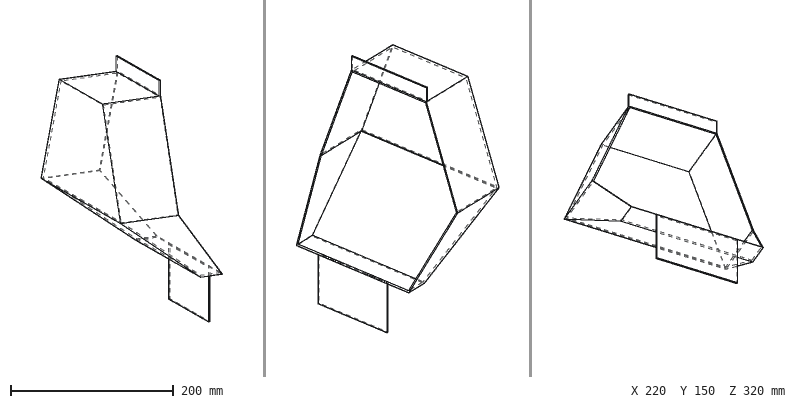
import cadquery as cq

SHEET = 2.0

SEAM_WIDTH = 220.0
SEAM_DEPTH = 80.0
HOOD_TOP_WIDTH = 120.0
HOOD_HEIGHT = 140.0

OUTLET_WIDTH = 180.0
OUTLET_DEPTH = 30.0
CHUTE_HEIGHT = 90.0
CHUTE_SHIFT = 70.0

TAB_HEIGHT = 20.0
PLATE_WIDTH = 110.0
PLATE_HEIGHT = 70.0


def open_backed_shell(lower, upper, open_end):
    """Flat-walled sheet shell between two level rectangles, open at its back and at one end.

    Each rectangle is (width, depth, back_y, z) and is centred in X.
    """
    low_width, low_depth, low_back, low_z = lower
    top_width, top_depth, top_back, top_z = upper
    front_outline = [
        (-low_width / 2, low_z),
        (low_width / 2, low_z),
        (top_width / 2, top_z),
        (-top_width / 2, top_z),
    ]
    side_outline = [
        (low_back - low_depth, low_z),
        (low_back, low_z),
        (top_back, top_z),
        (top_back - top_depth, top_z),
    ]
    y_reach = 2 * (SEAM_DEPTH + CHUTE_SHIFT)
    across = cq.Workplane("XZ").polyline(front_outline).close().extrude(y_reach, both=True)
    along = cq.Workplane("YZ").polyline(side_outline).close().extrude(SEAM_WIDTH, both=True)
    block = across.intersect(along)

    back_centre = (0, (low_back + top_back) / 2, (low_z + top_z) / 2)
    open_faces = block.faces(cq.NearestToPointSelector(back_centre)).add(block.faces(open_end))
    return open_faces.shell(-SHEET)


def upright_sheet(width, height, back_y, bottom_z):
    """Flat vertical sheet, centred in X, with its rear face at back_y."""
    return cq.Workplane("XY").box(width, SHEET, height, centered=(True, False, False)).translate(
        (0, back_y - SHEET, bottom_z)
    )


seam = (SEAM_WIDTH, SEAM_DEPTH, 0, 0)
hood_top = (HOOD_TOP_WIDTH, SEAM_DEPTH, 0, HOOD_HEIGHT)
outlet = (OUTLET_WIDTH, OUTLET_DEPTH, CHUTE_SHIFT, -CHUTE_HEIGHT)

hood = open_backed_shell(seam, hood_top, open_end="<Z")

chute = open_backed_shell(outlet, seam, open_end=">Z")

tab = upright_sheet(HOOD_TOP_WIDTH, TAB_HEIGHT, 0, HOOD_HEIGHT)

tail_plate = upright_sheet(PLATE_WIDTH, PLATE_HEIGHT, CHUTE_SHIFT, -CHUTE_HEIGHT - PLATE_HEIGHT)

result = cq.Compound.makeCompound([hood.val(), chute.val(), tab.val(), tail_plate.val()])